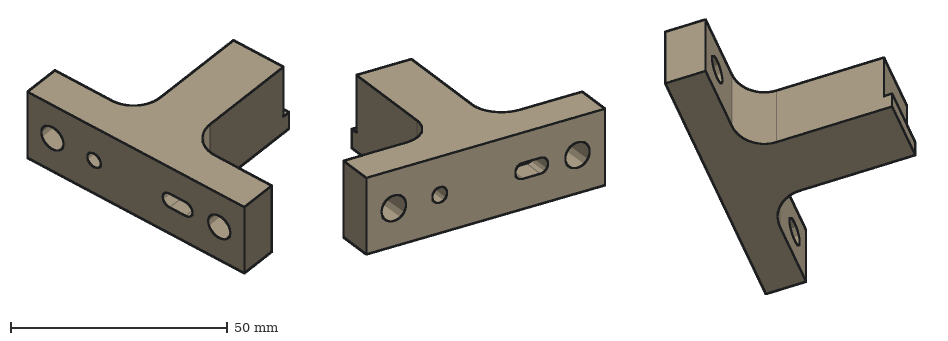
import cadquery as cq
import math

length = 65.0
depth = 46.6
height = 20.0

flange_thickness = 10.0
stem_width = 15.0
corner_radius = 8.0

lip_length = 2.0
lip_height = 5.0

bolt_diameter = 6.6
bolt_spacing = 50.0
locator_spacing = 25.0
locator_diameter = 4.0
locator_depth = 6.0
drill_point_angle = 118.0
slot_length = 8.9
slot_width = 4.15
slot_depth = 6.0


def make_body():
    """T-shaped block with rounded inner corners, centred on X, front face at Y = 0."""
    flange = cq.Workplane("XY").box(length, flange_thickness, height, centered=(True, False, False))
    stem = cq.Workplane("XY").box(stem_width, depth, height, centered=(True, False, False))
    inner_corners = cq.selectors.BoxSelector(
        (-stem_width, flange_thickness / 2, 0),
        (stem_width, flange_thickness * 1.5, height),
    )
    return flange.union(stem).edges("|Z").edges(inner_corners).fillet(corner_radius)


def make_end_step():
    """Block removed above the lip at the far end of the stem."""
    return (
        cq.Workplane("XY", origin=(0, depth - lip_length, lip_height))
        .box(stem_width, lip_length, height - lip_height, centered=(True, False, False))
    )


def face_plane(x):
    """Workplane on the flange face at mid height, pointing into the part."""
    return cq.Workplane(cq.Plane(origin=(x, 0, height / 2), xDir=(1, 0, 0), normal=(0, 1, 0)))


def make_bolt_hole(x):
    return face_plane(x).circle(bolt_diameter / 2).extrude(flange_thickness)


def make_locator_hole(x):
    """Blind drilled hole with a conical bottom."""
    radius = locator_diameter / 2
    point_depth = radius / math.tan(math.radians(drill_point_angle / 2))
    profile = (
        cq.Workplane("XY", origin=(x, 0, height / 2))
        .polyline([(0, 0), (radius, 0), (radius, locator_depth), (0, locator_depth + point_depth)])
        .close()
    )
    return profile.revolve(360, (0, 0, 0), (0, 1, 0))


def make_slot(x):
    return face_plane(x).slot2D(slot_length, slot_width).extrude(slot_depth)


result = make_body().cut(make_end_step())
for side in (-1, 1):
    result = result.cut(make_bolt_hole(side * bolt_spacing / 2))
result = result.cut(make_locator_hole(-locator_spacing / 2))
result = result.cut(make_slot(locator_spacing / 2))